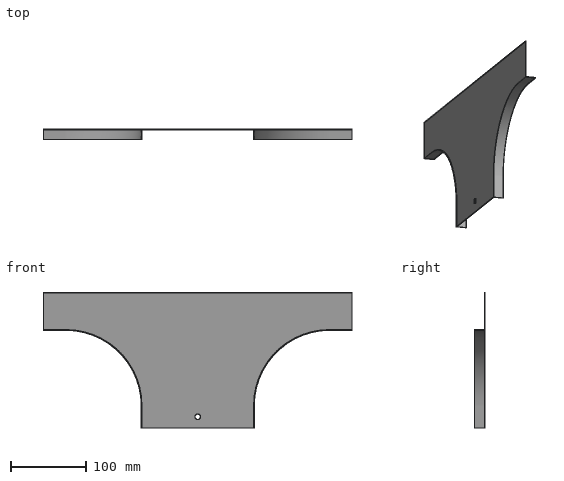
import cadquery as cq

length = 410.0
height = 180.0
depth = 14.0
sheet = 1.0

bend_radius = 100.0
straight = 30.0
hole_diameter = 7.0
hole_height = 15.0

half_length = length / 2
cut_size = bend_radius + straight
stem_half_width = half_length - cut_size
arm_bottom = cut_size


def corner_cut(offset):
    """Solid below the left arm, its curved edge shifted into the sheet by offset."""
    stem_x = -stem_half_width + offset
    arm_z = arm_bottom + offset
    center_x = -half_length + straight
    center_z = straight
    radius = bend_radius + offset
    diagonal = radius / 2**0.5
    return (
        cq.Workplane("XZ")
        .moveTo(-half_length, 0)
        .lineTo(stem_x, 0)
        .lineTo(stem_x, center_z)
        .threePointArc((center_x + diagonal, center_z + diagonal), (center_x, arm_z))
        .lineTo(-half_length, arm_z)
        .close()
        .extrude(depth)
    )


panel = cq.Workplane("XY").box(length, sheet, height, centered=(True, False, False))
panel = panel.translate((0, -sheet, 0))

opening = corner_cut(0)
flange = corner_cut(sheet).cut(opening)
result = panel
for cut, lip in ((opening, flange), (opening.mirror("YZ"), flange.mirror("YZ"))):
    result = result.cut(cut).union(lip)

hole = cq.Workplane("XZ").center(0, hole_height).circle(hole_diameter / 2).extrude(depth)
result = result.cut(hole)